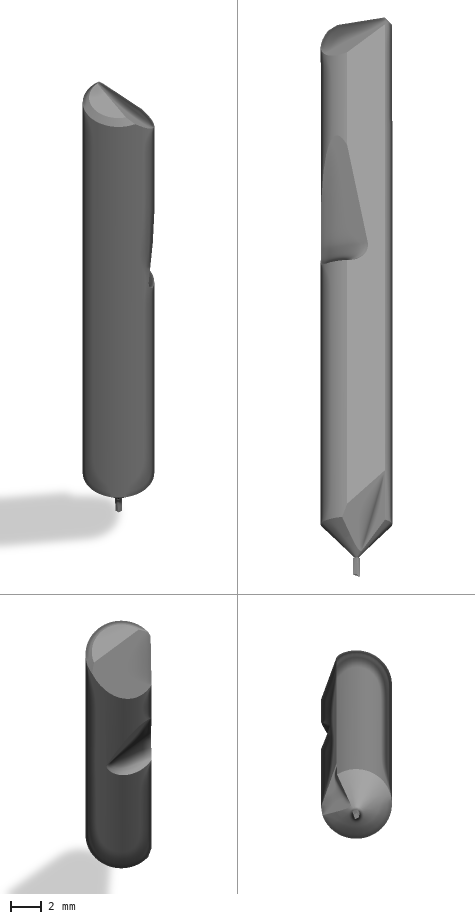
import cadquery as cq
import math

length = 38.1
shank_radius = 4.75 / 2
cone_start = 3.55
pin_width = 0.35
pin_half = pin_width / 2
pin_top = 1.25
top_chamfer = 0.42

flat_normal_angle = 143.0
flat_distance = 2.0

top_slope_edge_y = -0.55

notch_radius = 1.15
notch_depth = 1.3
notch_center_z = 22.25
notch_taper = math.radians(10)

relief_y = 0.1
relief_top = 6.95
relief_lean = math.radians(20)
relief_skew = math.radians(18)

pin_head_height = 0.7
front_set_back = 0.05

tip_width = 0.08
tip_height = 0.1

clear = 2 * shank_radius


def make_blank():
    """Turned shank with a chamfered top and a 45 degree cone."""
    cone_tip_radius = shank_radius - (cone_start - pin_top)
    outline = (
        cq.Workplane("XZ")
        .moveTo(0, pin_top)
        .lineTo(cone_tip_radius, pin_top)
        .lineTo(shank_radius, cone_start)
        .lineTo(shank_radius, length - top_chamfer)
        .lineTo(shank_radius - top_chamfer, length)
        .lineTo(0, length)
        .close()
    )
    return outline.revolve(360, (0, 0, 0), (0, 1, 0))


def make_pin():
    """Square pin below the cone, with a front face set back along its lower end."""
    pin = cq.Workplane("XY").box(pin_width, pin_width, pin_top, centered=(True, True, False))
    set_back = cq.Workplane("XY").box(pin_width, front_set_back, pin_head_height, centered=(True, False, False))
    return pin.cut(set_back.translate((0, -pin_half, 0)))


def side_flat():
    """Block beyond the flat that runs the whole length."""
    block = cq.Workplane("XY").box(clear, 2 * clear, length, centered=(False, True, False))
    return block.translate((flat_distance, 0, 0)).rotate((0, 0, 0), (0, 0, 1), flat_normal_angle)


def top_slope():
    """Wedge above the 45 degree slope, running through along X."""
    return (
        cq.Workplane("YZ")
        .moveTo(top_slope_edge_y, length)
        .lineTo(top_slope_edge_y + clear, length - clear)
        .lineTo(top_slope_edge_y + clear, length)
        .close()
        .extrude(clear, both=True)
    )


def clamping_notch():
    """Round-bottomed notch with a tapered upper side, running through along X."""
    floor_y = shank_radius - notch_depth
    center_y = floor_y + notch_radius
    tangent_y = center_y - notch_radius * math.cos(notch_taper)
    tangent_z = notch_center_z + notch_radius * math.sin(notch_taper)
    taper_top_z = tangent_z + (clear - tangent_y) / math.tan(notch_taper)
    bottom_z = notch_center_z - notch_radius
    middle_angle = (math.pi / 2 - notch_taper) / 2
    arc_middle = (
        center_y - notch_radius * math.cos(middle_angle),
        notch_center_z - notch_radius * math.sin(middle_angle),
    )
    return (
        cq.Workplane("YZ")
        .moveTo(clear, bottom_z)
        .lineTo(center_y, bottom_z)
        .threePointArc(arc_middle, (tangent_y, tangent_z))
        .lineTo(clear, taper_top_z)
        .close()
        .extrude(clear, both=True)
    )


def wall_x(y, z):
    """X position of the relief wall, which starts where the side flat meets the relief floor."""
    angle = math.radians(flat_normal_angle)
    start_x = (flat_distance - relief_y * math.sin(angle)) / math.cos(angle)
    return start_x + (y - relief_y) * math.tan(relief_skew) + (relief_top - z) * math.tan(relief_lean)


def relief_section(y):
    """Triangle of the relief at a given Y, open to the -X side of the shank."""
    wall_top_z = relief_top + (wall_x(y, relief_top) + clear) / math.tan(relief_lean)
    corners = [(-clear, 0), (wall_x(y, 0), 0), (-clear, wall_top_z)]
    return cq.Wire.makePolygon([cq.Vector(x, y, z) for x, z in corners], close=True)


def tip_relief():
    """Wedge removed from the -X, +Y side of the lower end."""
    sections = [relief_section(relief_y), relief_section(clear)]
    return cq.Workplane(cq.Solid.makeLoft(sections, True))


def end_step():
    """Shallow step that leaves a narrow cutting corner on the -X side of the pin."""
    step = cq.Workplane("XY").box(clear, clear, tip_height, centered=(False, True, False))
    return step.translate((tip_width - pin_half, 0, 0))


result = (
    make_blank()
    .union(make_pin())
    .cut(side_flat())
    .cut(top_slope())
    .cut(clamping_notch())
    .cut(tip_relief())
    .cut(end_step())
)